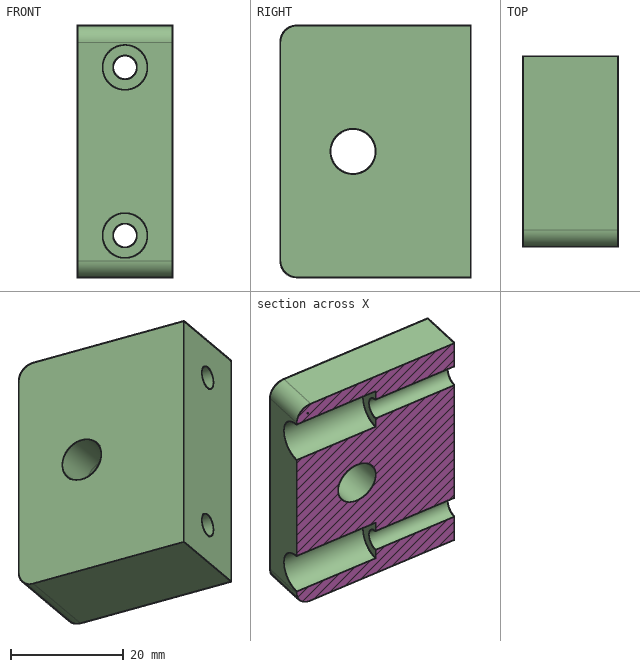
import cadquery as cq

width = 17.0
depth = 34.0
height = 45.0
corner_radius = 3.0

cross_hole_diameter = 8.0
cross_hole_setback = 13.0

screw_hole_diameter = 4.2
counterbore_diameter = 8.0
counterbore_depth = depth / 2
screw_spacing = 2 * height / 3

front_y = -depth / 2


def make_block():
    block = cq.Workplane("XY").box(width, depth, height)
    return block.faces("<Y").edges("|X").fillet(corner_radius)


def make_cross_hole():
    return (
        cq.Workplane("YZ")
        .center(front_y + cross_hole_setback, 0)
        .circle(cross_hole_diameter / 2)
        .extrude(width / 2, both=True)
    )


def front_bore(z, diameter, length):
    """Cylinder that enters the block from the front face at height z."""
    return (
        cq.Workplane("XZ", origin=(0, front_y, z))
        .circle(diameter / 2)
        .extrude(-length)
    )


result = make_block().cut(make_cross_hole())
for screw_z in (-screw_spacing / 2, screw_spacing / 2):
    result = result.cut(front_bore(screw_z, screw_hole_diameter, depth))
    result = result.cut(front_bore(screw_z, counterbore_diameter, counterbore_depth))